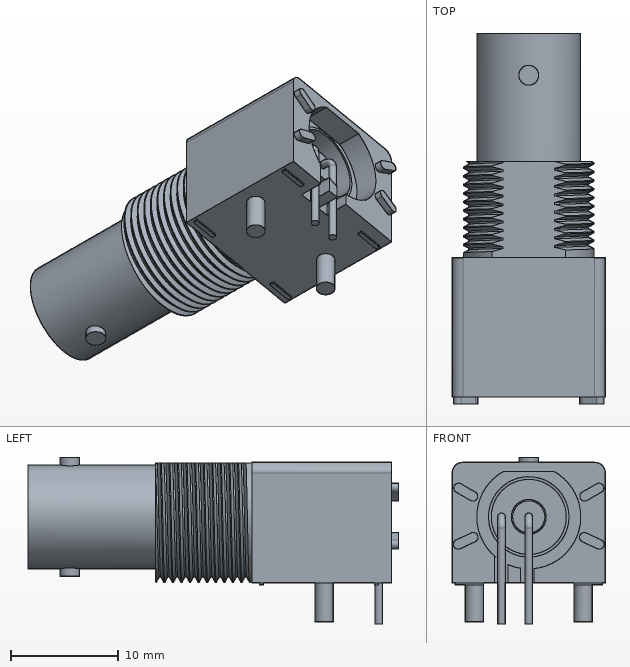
import cadquery as cq
import math


HOUSING_WIDTH = 14.3
HOUSING_LENGTH = 13.0
HOUSING_TOP = 5.1
HOUSING_BOTTOM = -6.15
TOP_EDGE_RADIUS = 1.0

THREAD_DIAMETER = 12.2
THREAD_DEPTH = 0.5
THREAD_LENGTH = 9.0
THREAD_PITCH = 0.8
CREST_WIDTH = 0.1
ROOT_WIDTH = 0.16
CUTTER_OVERSHOOT = 0.03
GROOVE_START = 0.5
GROOVE_START_ANGLE = 45.0
BLANK_EXCESS = 4.0
NECK_FLAT_HEIGHT = 5.05

BARREL_DIAMETER = 9.7
BARREL_LENGTH = 11.92
LUG_DIAMETER = 1.85
LUG_SPAN = 11.1
LUG_FROM_END = 3.9

POCKET_DIAMETER = 9.7
POCKET_FLAT_HEIGHT = 4.25
POCKET_DEPTH = 2.3
SLEEVE_OUTER_DIAMETER = 7.5
SLEEVE_BORE_DIAMETER = 7.0
SLEEVE_PROJECTION = 0.3
BORE_DEPTH = 4.15
INSULATOR_DIAMETER = 3.0
INSULATOR_RECESS = 2.5
CLEARANCE_DIAMETER = 3.25
CLEARANCE_DEPTH = 0.5

PIN_DIAMETER = 0.72
PIN_BEND_RADIUS = 1.04
PIN_Y = 1.2
PIN_BOTTOM = -10.0
CENTER_PIN_X = 0.0
GROUND_PIN_X = -2.54
PIN_EMBED = 0.5

SLOT_WIDTH = 1.25
CENTER_SLOT_X = -0.15
GROUND_SLOT_X = -2.55

POST_DIAMETER = 1.73
POST_X = 5.08
POST_Y = 6.3
POST_BOTTOM = -9.8
STANDOFF_LENGTH = 2.66
STANDOFF_WIDTH = 0.4
STANDOFF_HEIGHT = 0.2
STANDOFF_X = 5.53
STANDOFF_REAR_Y = 1.4
STANDOFF_FRONT_Y = 12.13

PAD_WIDTH = 0.9
PAD_LENGTH = 2.45
PAD_HEIGHT = 0.65
PAD_X = 5.88
UPPER_PAD_Z = 2.31
UPPER_PAD_ANGLE = 30.0
LOWER_PAD_Z = -2.23
LOWER_PAD_ANGLE = -25.0

NECK_END_Y = HOUSING_LENGTH + THREAD_LENGTH
BARREL_END_Y = NECK_END_Y + BARREL_LENGTH
SLEEVE_END_Y = POCKET_DEPTH - SLEEVE_PROJECTION


def cylinder_y(diameter, y_start, y_end):
    """Cylinder on the connector axis between two Y positions."""
    plane = cq.Workplane("XZ", origin=(0, y_start, 0))
    return plane.circle(diameter / 2).extrude(y_start - y_end)


def cylinder_z(diameter, x, y, z_start, z_end):
    """Upright cylinder between two Z positions."""
    plane = cq.Workplane("XY", origin=(x, y, z_start))
    return plane.circle(diameter / 2).extrude(z_end - z_start)


def block(x_range, y_range, z_range):
    """Box given by its limits along each axis."""
    size = [high - low for low, high in (x_range, y_range, z_range)]
    corner = (x_range[0], y_range[0], z_range[0])
    return cq.Workplane("XY").box(*size, centered=False).translate(corner)


def below(diameter, height, y_start, y_end):
    """Block that fills everything under a given height, used to flatten a cylinder."""
    return block((-diameter, diameter), (y_start, y_end), (-diameter, height))


def make_housing():
    half_width = HOUSING_WIDTH / 2
    body = block((-half_width, half_width), (0, HOUSING_LENGTH), (HOUSING_BOTTOM, HOUSING_TOP))
    return body.edges("|Y and >Z").fillet(TOP_EDGE_RADIUS)


def make_thread_cutter():
    """Right-hand helical V groove that starts low on the +X side of the neck."""
    root_radius = THREAD_DIAMETER / 2 - THREAD_DEPTH
    outer_radius = THREAD_DIAMETER / 2 + CUTTER_OVERSHOOT
    root_half = ROOT_WIDTH / 2
    flank_slope = ((THREAD_PITCH - CREST_WIDTH) / 2 - root_half) / THREAD_DEPTH
    outer_half = root_half + flank_slope * (outer_radius - root_radius)
    height = THREAD_LENGTH - GROOVE_START + THREAD_PITCH
    helix = cq.Wire.makeHelix(THREAD_PITCH, height, root_radius)
    groove = (
        cq.Workplane("XZ")
        .moveTo(root_radius, -root_half)
        .lineTo(outer_radius, -outer_half)
        .lineTo(outer_radius, outer_half)
        .lineTo(root_radius, root_half)
        .close()
        .sweep(cq.Workplane(helix), isFrenet=True)
    )
    groove = groove.rotate((0, 0, 0), (1, 0, 0), -90)
    groove = groove.rotate((0, 0, 0), (0, 1, 0), GROOVE_START_ANGLE)
    return groove.translate((0, HOUSING_LENGTH + GROOVE_START, 0))


def make_neck():
    """Threaded neck, grooved as a longer blank so that the groove runs out through its end."""
    blank_end_y = NECK_END_Y + BLANK_EXCESS
    neck = cylinder_y(THREAD_DIAMETER, HOUSING_LENGTH, blank_end_y).cut(make_thread_cutter())
    return neck.intersect(below(THREAD_DIAMETER, NECK_FLAT_HEIGHT, HOUSING_LENGTH, NECK_END_Y))


def make_barrel():
    lug_y = BARREL_END_Y - LUG_FROM_END
    barrel = cylinder_y(BARREL_DIAMETER, NECK_END_Y, BARREL_END_Y)
    return barrel.union(cylinder_z(LUG_DIAMETER, 0, lug_y, -LUG_SPAN / 2, LUG_SPAN / 2))


def make_rear_pocket():
    pocket = cylinder_y(POCKET_DIAMETER, 0, POCKET_DEPTH)
    pocket = pocket.intersect(below(POCKET_DIAMETER, POCKET_FLAT_HEIGHT, 0, POCKET_DEPTH))
    slot_top = -SLEEVE_OUTER_DIAMETER / 2
    for slot_x in (CENTER_SLOT_X, GROUND_SLOT_X):
        slot_range = (slot_x - SLOT_WIDTH / 2, slot_x + SLOT_WIDTH / 2)
        pocket = pocket.union(block(slot_range, (0, POCKET_DEPTH), (HOUSING_BOTTOM, slot_top)))
    return pocket


def add_sleeve_and_insulator(body):
    clearance_end = BORE_DEPTH + CLEARANCE_DEPTH
    body = body.union(cylinder_y(SLEEVE_OUTER_DIAMETER, SLEEVE_END_Y, POCKET_DEPTH))
    body = body.cut(cylinder_y(SLEEVE_BORE_DIAMETER, SLEEVE_END_Y, BORE_DEPTH))
    body = body.cut(cylinder_y(CLEARANCE_DIAMETER, BORE_DEPTH, clearance_end))
    return body.union(cylinder_y(INSULATOR_DIAMETER, INSULATOR_RECESS, clearance_end))


def make_pin(x, root_y):
    """Round pin that leaves the body at root_y and bends down to the board."""
    bend_center_y = PIN_Y + PIN_BEND_RADIUS
    bend_reach = PIN_BEND_RADIUS * math.sqrt(0.5)
    path = (
        cq.Workplane("YZ", origin=(x, 0, 0))
        .moveTo(PIN_Y, PIN_BOTTOM)
        .lineTo(PIN_Y, -PIN_BEND_RADIUS)
        .threePointArc(
            (bend_center_y - bend_reach, bend_reach - PIN_BEND_RADIUS),
            (bend_center_y, 0),
        )
        .lineTo(root_y + PIN_EMBED, 0)
    )
    profile = cq.Workplane("XY", origin=(x, PIN_Y, PIN_BOTTOM)).circle(PIN_DIAMETER / 2)
    return profile.sweep(path)


def make_pad(side, z, angle):
    """Slanted pad with round ends; side is +1 for +X and -1 for -X."""
    plane = cq.Workplane("XZ", origin=(side * PAD_X, 0, z))
    return plane.slot2D(PAD_LENGTH, PAD_WIDTH, side * angle).extrude(PAD_HEIGHT)


def make_standoff(x, y):
    standoff = cq.Workplane("XY", origin=(x, y, HOUSING_BOTTOM))
    return standoff.rect(STANDOFF_LENGTH, STANDOFF_WIDTH).extrude(-STANDOFF_HEIGHT)


result = make_housing().cut(make_rear_pocket())
result = add_sleeve_and_insulator(result)
result = result.union(make_neck()).union(make_barrel())
result = result.union(make_pin(CENTER_PIN_X, INSULATOR_RECESS))
result = result.union(make_pin(GROUND_PIN_X, BORE_DEPTH))
for side in (-1, 1):
    result = result.union(make_pad(side, UPPER_PAD_Z, UPPER_PAD_ANGLE))
    result = result.union(make_pad(side, LOWER_PAD_Z, LOWER_PAD_ANGLE))
    result = result.union(cylinder_z(POST_DIAMETER, side * POST_X, POST_Y, HOUSING_BOTTOM, POST_BOTTOM))
    for standoff_y in (STANDOFF_REAR_Y, STANDOFF_FRONT_Y):
        result = result.union(make_standoff(side * STANDOFF_X, standoff_y))